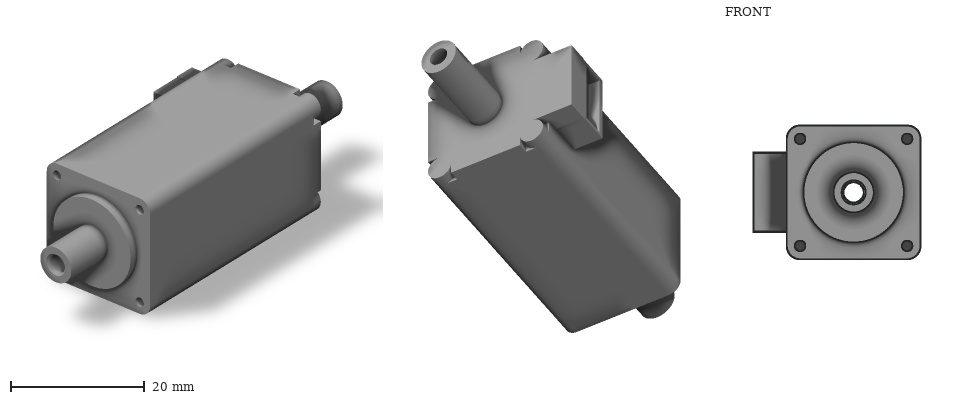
import cadquery as cq
import math

total_length = 63.7
shaft_dia = 6.0
front_shaft_length = 8.5
bore_dia = 3.0
bore_mouth_dia = 3.6
bore_mouth_depth = (bore_mouth_dia - bore_dia) / 2

body_width = 20.0
body_length = 40.05
mount_hole_spacing = 16.0
pilot_dia = 15.0
pilot_length = 1.5

mount_hole_dia = 1.6
mount_hole_depth = 3.8

notch_length = 1.7

connector_reach = 5.0
connector_length = 9.0
connector_base_length = 3.5
connector_socket_height = 11.65
socket_opening_length = 3.9
socket_opening_height = 10.5
socket_front_wall = 0.75
socket_depth = 2.0

half_width = body_width / 2
corner_center = mount_hole_spacing / 2
corner_radius = half_width - corner_center
inner_half = corner_center - corner_radius
front_face = 0.0
rear_face = front_face + body_length
notch_start = rear_face - notch_length
front_tip = front_face - pilot_length - front_shaft_length
rear_tip = front_tip + total_length


def cylinder_along_y(diameter, start, end, x=0.0, z=0.0):
    """Round bar parallel to Y between two Y positions."""
    axis = cq.Vector(0, 1, 0)
    return cq.Workplane(cq.Solid.makeCylinder(diameter / 2, end - start, cq.Vector(x, start, z), axis))


def box_between(x_range, y_range, z_range):
    """Axis-aligned box between the (low, high) limits on each axis."""
    low_corner, high_corner = zip(x_range, y_range, z_range)
    sizes = [high - low for low, high in zip(low_corner, high_corner)]
    return cq.Workplane(cq.Solid.makeBox(*sizes, cq.Vector(*low_corner)))


def make_front_body():
    """Main length of the body: a square bar with rounded corners."""
    across = (-half_width, half_width)
    body = box_between(across, (front_face, notch_start), across)
    return body.edges("|Y").fillet(corner_radius)


def quarter_turns(point, count):
    """Turn an (x, z) point clockwise about the shaft axis by quarter turns."""
    x, z = point
    for _ in range(count):
        x, z = z, -x
    return (x, z)


def make_rear_body():
    """Rear slice of the body: a cross with a round post at each inner corner."""
    diagonal = corner_center + corner_radius * math.sqrt(0.5)
    side_end = (inner_half, half_width)
    post_start = (inner_half, corner_center)
    post_middle = (diagonal, diagonal)
    post_end = (corner_center, inner_half)
    next_side_start = (half_width, inner_half)

    outline = cq.Workplane("XZ", origin=(0, rear_face, 0)).moveTo(-inner_half, half_width)
    for turns in range(4):
        outline = outline.lineTo(*quarter_turns(side_end, turns))
        outline = outline.lineTo(*quarter_turns(post_start, turns))
        outline = outline.threePointArc(quarter_turns(post_middle, turns), quarter_turns(post_end, turns))
        if turns < 3:
            outline = outline.lineTo(*quarter_turns(next_side_start, turns))
    return outline.close().extrude(notch_length)


def make_connector():
    x_range = (-half_width - connector_reach, -half_width)
    connector_front = rear_face - connector_length
    base_front = rear_face - connector_base_length
    half_socket = connector_socket_height / 2
    half_opening = socket_opening_height / 2

    base = box_between(x_range, (base_front, rear_face), (-inner_half, inner_half))
    socket = box_between(x_range, (connector_front, base_front), (-half_socket, half_socket))
    opening_front = connector_front + socket_front_wall
    opening = box_between(
        (x_range[0], x_range[0] + socket_depth),
        (opening_front, opening_front + socket_opening_length),
        (-half_opening, half_opening),
    )
    return base.union(socket).cut(opening)


motor = make_front_body().union(make_rear_body())
for x_side in (-1, 1):
    for z_side in (-1, 1):
        mount_hole = cylinder_along_y(
            mount_hole_dia,
            front_face,
            front_face + mount_hole_depth,
            x=x_side * corner_center,
            z=z_side * corner_center,
        )
        motor = motor.cut(mount_hole)

motor = motor.union(make_connector())
motor = motor.union(cylinder_along_y(pilot_dia, front_face - pilot_length, front_face))
motor = motor.union(cylinder_along_y(shaft_dia, front_tip, rear_tip))

motor = motor.cut(cylinder_along_y(bore_dia, front_tip, rear_tip))
bore_mouth = cq.Solid.makeCone(
    bore_mouth_dia / 2, bore_dia / 2, bore_mouth_depth, cq.Vector(0, front_tip, 0), cq.Vector(0, 1, 0)
)
result = motor.cut(cq.Workplane(bore_mouth))